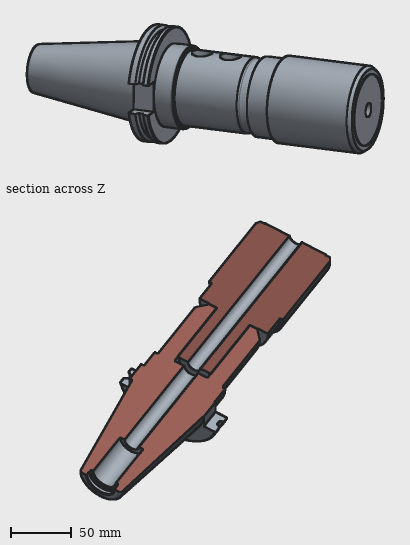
import cadquery as cq
import math

overall_length = 298.2
flange_start = 103.0
flange_end = 120.8
shoulder_end = 137.2
body_end = 193.5
nose_start = 202.8
holder_end = 203.5

taper_small_dia = 40.5
gauge_dia = 70.0
shoulder_dia = 69.8
taper_end_round = 2.5
flange_dia = 97.5
flange_chamfer = 0.5
shoulder_chamfer_length = 1.2
shoulder_chamfer_depth = 0.3
shoulder_foot = 1.0
body_dia = 63.8
body_edge_length = 1.8
body_edge_depth = 1.0
nose_dia = 48.0

groove_center = 112.7
groove_mouth_width = 7.2
groove_floor_width = 3.5
groove_floor_dia = 90.7

slot_width = 25.5
slot_floor_front = 35.5
slot_floor_back = 37.5

mouth_dia = 28.0
mouth_chamfer = 0.5
recess_dia = 26.8
recess_depth = 4.2
pilot_dia = 26.2
pilot_depth = 6.5
thread_dia = 22.0
thread_depth = 47.7
holder_coolant_dia = 13.5
bore_start = 138.7

screw_dia = 17.3
screw_first = 149.5
screw_pitch = 25.3
screw_count = 2

shank_dia = 32.0
shank_start = 143.0
shank_chamfer = 1.0
tool_coolant_dia = 12.0
notch_angle = 2.0
notch_end_margin = 3.0
collar_dia = 67.5
head_start = 222.2
head_dia = 73.0
head_back_chamfer = 0.5
head_chamfer_length = 3.5
head_chamfer_depth = 2.5
end_boss_dia = 59.5
end_boss_height = 0.5


def revolve_about_x(points):
    """Revolve a closed (x, radius) outline about the X axis."""
    return cq.Workplane("XY").polyline(points).close().revolve(360, (0, 0, 0), (1, 0, 0))


def cylinder_along_x(diameter, start, end):
    return cq.Workplane("YZ").workplane(offset=start).circle(diameter / 2).extrude(end - start)


def holder_outside():
    flange_radius = flange_dia / 2
    gauge_radius = gauge_dia / 2
    shoulder_radius = shoulder_dia / 2
    body_radius = body_dia / 2
    outline = [
        (0, 0),
        (0, taper_small_dia / 2),
        (flange_start, gauge_radius),
        (flange_start, flange_radius - flange_chamfer),
        (flange_start + flange_chamfer, flange_radius),
        (flange_end - flange_chamfer, flange_radius),
        (flange_end, flange_radius - flange_chamfer),
        (flange_end, shoulder_radius),
        (shoulder_end - shoulder_chamfer_length, shoulder_radius),
        (shoulder_end, shoulder_radius - shoulder_chamfer_depth),
        (shoulder_end, body_radius + shoulder_foot),
        (shoulder_end + shoulder_foot, body_radius),
        (body_end, body_radius),
        (body_end + body_edge_length, body_radius - body_edge_depth),
        (nose_start, nose_dia / 2),
        (holder_end, nose_dia / 2),
        (holder_end, 0),
    ]
    return revolve_about_x(outline).faces("<X").edges().fillet(taper_end_round)


def gripper_groove():
    rim = flange_dia / 2
    outline = [
        (groove_center - groove_mouth_width / 2, rim),
        (groove_center - groove_floor_width / 2, groove_floor_dia / 2),
        (groove_center + groove_floor_width / 2, groove_floor_dia / 2),
        (groove_center + groove_mouth_width / 2, rim),
    ]
    return revolve_about_x(outline)


def drive_slot(side, floor):
    """Slot through the flange at distance floor from the axis; side is +1 or -1 along Y."""
    length = flange_end - flange_start
    depth = flange_dia / 2 - floor
    center = (flange_start + length / 2, side * (floor + depth / 2), 0)
    return cq.Workplane("XY").box(length, depth, slot_width).translate(center)


def holder_inside():
    outline = [
        (0, 0),
        (0, mouth_dia / 2),
        (mouth_chamfer, recess_dia / 2),
        (recess_depth, recess_dia / 2),
        (recess_depth, pilot_dia / 2),
        (pilot_depth, pilot_dia / 2),
        (pilot_depth, thread_dia / 2),
        (thread_depth, thread_dia / 2),
        (thread_depth, holder_coolant_dia / 2),
        (bore_start, holder_coolant_dia / 2),
        (bore_start, shank_dia / 2),
        (holder_end, shank_dia / 2),
        (holder_end, 0),
    ]
    return revolve_about_x(outline)


def screw_holes():
    centers = [(screw_first + i * screw_pitch, 0) for i in range(screw_count)]
    return cq.Workplane("XY").pushPoints(centers).circle(screw_dia / 2).extrude(body_dia)


def make_holder():
    holder = holder_outside().cut(gripper_groove())
    holder = holder.cut(drive_slot(-1, slot_floor_front)).cut(drive_slot(1, slot_floor_back))
    return holder.cut(holder_inside()).cut(screw_holes())


def tool_outside():
    shank_radius = shank_dia / 2
    head_radius = head_dia / 2
    face_end = overall_length - end_boss_height
    outline = [
        (shank_start, 0),
        (shank_start, shank_radius - shank_chamfer),
        (shank_start + shank_chamfer, shank_radius),
        (holder_end, shank_radius),
        (holder_end, collar_dia / 2),
        (head_start, collar_dia / 2),
        (head_start, head_radius - head_back_chamfer),
        (head_start + head_back_chamfer, head_radius),
        (face_end - head_chamfer_length, head_radius),
        (face_end, head_radius - head_chamfer_depth),
        (face_end, end_boss_dia / 2),
        (overall_length, end_boss_dia / 2),
        (overall_length, 0),
    ]
    return revolve_about_x(outline)


def whistle_notch():
    """Sloping flat on top of the shank, deepest under the last clamping screw."""
    end = screw_first + (screw_count - 1) * screw_pitch + screw_dia / 2 + notch_end_margin
    drop = (end - shank_start) * math.tan(math.radians(notch_angle))
    top = shank_dia / 2
    outline = [(shank_start, top), (end, top - drop), (end, top)]
    return cq.Workplane("XZ").polyline(outline).close().extrude(shank_dia / 2, both=True)


def make_tool():
    coolant_hole = cylinder_along_x(tool_coolant_dia, shank_start, overall_length)
    return tool_outside().cut(whistle_notch()).cut(coolant_hole)


holder = make_holder()
tool = make_tool()

result = cq.Compound.makeCompound([holder.val(), tool.val()])